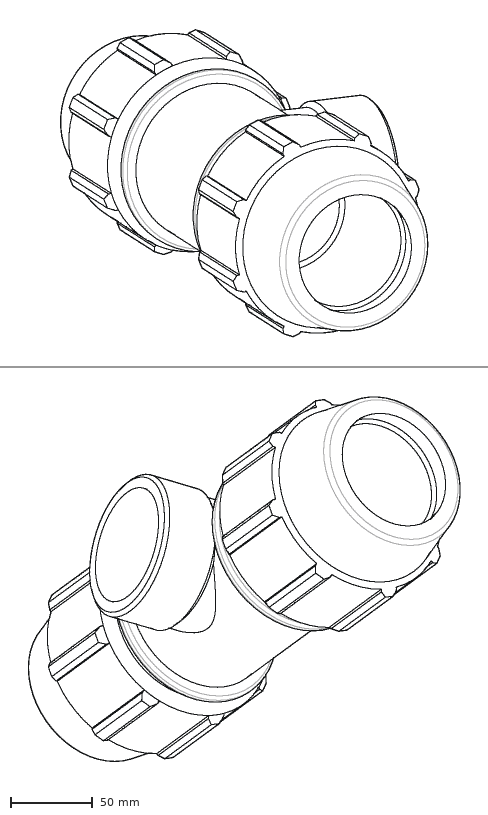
import cadquery as cq
import math

LENGTH = 342.0
DEPTH = 147.0
HEIGHT = 124.0
BORE_DIAMETER = 67.5

SOCKET_DIAMETER = 75.0
RECESS_DIAMETER = 79.0
RECESS_FLARE_LENGTH = 13.5
RECESS_DEPTH = 16.0

BODY_DIAMETER = 99.2

FLANGE_DIAMETER = 115.0
FLANGE_WIDTH = 6.5
FLANGE_INNER_X = 52.3
FLANGE_FILLET = 2.0

NUT_DIAMETER = 122.8
NUT_INNER_X = 68.7
NUT_OUTER_X = 130.3
NUT_CONE_SLOPE = 0.5

NOSE_BASE_DIAMETER = 115.0
NOSE_TIP_DIAMETER = 97.8
NOSE_FILLET = 3.0

RIB_COUNT = 8
RIB_ROOT_RADIUS = 54.7
RIB_SHOULDER_RADIUS = 62.5
RIB_TIP_WIDTH = 6.5
RIB_BASE_WIDTH = 12.0
RIB_INNER_CHAMFER = 4.0

COLLAR_DIAMETER = 90.3
COLLAR_LENGTH = 35.5
COLLAR_END_CHAMFER = 2.5
COLLAR_BACK_CHAMFER = 3.5
BRANCH_BORE_DIAMETER = 72.0

HALF_LENGTH = LENGTH / 2
SOCKET_FLOOR_X = NUT_INNER_X
BRANCH_END_Y = DEPTH - HEIGHT / 2

RIB_PITCH = 360 / RIB_COUNT
RIB_LEAN = math.radians(RIB_PITCH / 2)
RIB_TIP_RADIUS = (HEIGHT / 2 - RIB_TIP_WIDTH / 2 * math.sin(RIB_LEAN)) / math.cos(RIB_LEAN)


def x_cylinder(diameter, start, end):
    return cq.Workplane("YZ", origin=(start, 0, 0)).circle(diameter / 2).extrude(end - start)


def y_cylinder(diameter, start, end):
    return cq.Workplane("XZ", origin=(0, start, 0)).circle(diameter / 2).extrude(start - end)


def make_flange():
    flange = x_cylinder(FLANGE_DIAMETER, FLANGE_INNER_X, FLANGE_INNER_X + FLANGE_WIDTH)
    return flange.edges().fillet(FLANGE_FILLET)


def make_nose():
    """Cone that narrows from the nut to a rounded tip."""
    nose = (
        cq.Workplane("YZ", origin=(NUT_OUTER_X, 0, 0))
        .circle(NOSE_BASE_DIAMETER / 2)
        .workplane(offset=HALF_LENGTH - NUT_OUTER_X)
        .circle(NOSE_TIP_DIAMETER / 2)
        .loft()
    )
    return nose.faces(">X").edges().fillet(NOSE_FILLET)


def make_nut():
    """Round nut with trapezoidal ribs, all sloped off at both ends."""
    nut_radius = NUT_DIAMETER / 2
    base_radius = NOSE_BASE_DIAMETER / 2
    corner_radius = math.hypot(RIB_TIP_RADIUS, RIB_TIP_WIDTH / 2)
    outer_tip_x = NUT_OUTER_X - NUT_CONE_SLOPE * (corner_radius - base_radius)
    envelope = (
        cq.Workplane("XY")
        .polyline([
            (NUT_INNER_X, 0),
            (NUT_INNER_X, nut_radius),
            (NUT_INNER_X + RIB_INNER_CHAMFER, corner_radius),
            (outer_tip_x, corner_radius),
            (NUT_OUTER_X, base_radius),
            (NUT_OUTER_X, 0),
        ])
        .close()
        .revolve(360, (0, 0, 0), (1, 0, 0))
    )
    rib = (
        cq.Workplane("YZ", origin=(NUT_INNER_X, 0, 0))
        .polyline([
            (-RIB_BASE_WIDTH / 2, RIB_ROOT_RADIUS),
            (-RIB_BASE_WIDTH / 2, RIB_SHOULDER_RADIUS),
            (-RIB_TIP_WIDTH / 2, RIB_TIP_RADIUS),
            (RIB_TIP_WIDTH / 2, RIB_TIP_RADIUS),
            (RIB_BASE_WIDTH / 2, RIB_SHOULDER_RADIUS),
            (RIB_BASE_WIDTH / 2, RIB_ROOT_RADIUS),
        ])
        .close()
        .extrude(NUT_OUTER_X - NUT_INNER_X)
    )
    nut = x_cylinder(NUT_DIAMETER, NUT_INNER_X, NUT_OUTER_X)
    for index in range(RIB_COUNT):
        nut = nut.union(rib.rotate((0, 0, 0), (1, 0, 0), (index + 0.5) * RIB_PITCH))
    return nut.intersect(envelope)


def make_branch():
    """Turned profile of the branch: plain neck and wider chamfered collar."""
    collar_radius = COLLAR_DIAMETER / 2
    neck_radius = collar_radius - COLLAR_BACK_CHAMFER
    collar_start = BRANCH_END_Y - COLLAR_LENGTH
    return (
        cq.Workplane("XY")
        .polyline([
            (0, 0),
            (neck_radius, 0),
            (neck_radius, collar_start - COLLAR_BACK_CHAMFER),
            (collar_radius, collar_start),
            (collar_radius, BRANCH_END_Y - COLLAR_END_CHAMFER),
            (collar_radius - COLLAR_END_CHAMFER, BRANCH_END_Y),
            (0, BRANCH_END_Y),
        ])
        .close()
        .revolve(360, (0, 0, 0), (0, 1, 0))
    )


def make_bore_half():
    """Half of the main bore, widening to the pipe socket and its flared recess."""
    bore_radius = BORE_DIAMETER / 2
    socket_radius = SOCKET_DIAMETER / 2
    recess_radius = RECESS_DIAMETER / 2
    return (
        cq.Workplane("XY")
        .polyline([
            (0, 0),
            (0, bore_radius),
            (SOCKET_FLOOR_X, bore_radius),
            (SOCKET_FLOOR_X, socket_radius),
            (HALF_LENGTH - RECESS_DEPTH, socket_radius),
            (HALF_LENGTH - RECESS_FLARE_LENGTH, recess_radius),
            (HALF_LENGTH, socket_radius),
            (HALF_LENGTH, 0),
        ])
        .close()
        .revolve(360, (0, 0, 0), (1, 0, 0))
    )


half = (
    x_cylinder(BODY_DIAMETER, 0, NUT_INNER_X)
    .union(make_flange())
    .union(make_nut())
    .union(make_nose())
)
solid_tee = half.union(half.mirror("YZ")).union(make_branch())

bore_half = make_bore_half()
result = (
    solid_tee.cut(bore_half)
    .cut(bore_half.mirror("YZ"))
    .cut(y_cylinder(BRANCH_BORE_DIAMETER, 0, BRANCH_END_Y))
)